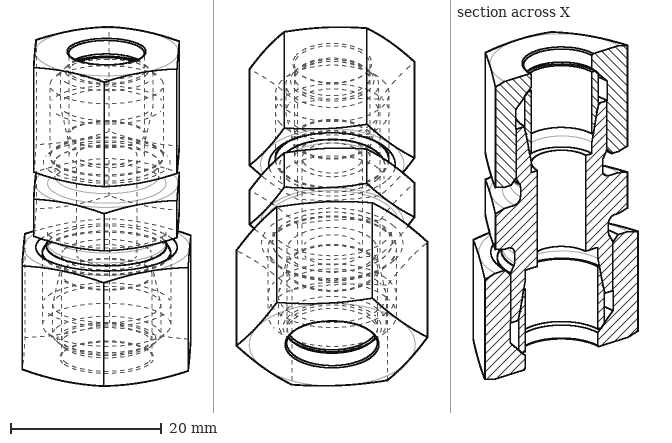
import cadquery as cq
import math


TOTAL_LENGTH = 43.0
NUT_LENGTH = 15.5
HEX_LENGTH = 6.0
MID_Z = TOTAL_LENGTH / 2
HEX_HALF = HEX_LENGTH / 2
NUT_OUTER_FACE = TOTAL_LENGTH / 2
NUT_INNER_FACE = NUT_OUTER_FACE - NUT_LENGTH

HEX_SIDES = 6
HEX_HALF_ANGLE = 180 / HEX_SIDES
CORNER_CHAMFER_ANGLE = 15.0

BODY_ACROSS_FLATS = 19.0
BORE_RADIUS = 8.0 / 2
STUB_LENGTH = 11.0
STUB_END = HEX_HALF + STUB_LENGTH
SOCKET_DEPTH = 7.0
GROOVE_LENGTH = 2.8
GROOVE_STRAIGHT_LENGTH = 1.38
GROOVE_FILLET = 1.0
LEAD_IN_LEDGE = 0.05
LEAD_IN_ANGLE = 30.0
MOUTH_HALF_ANGLE = 12.0

LIP_HEIGHT = 2.1
LIP_CHAMFER = 0.2
MOUTH_WIDENING = 0.85

RING_SEAT_WIDTH = 0.5
RING_TIP_WALL = 0.25

UPPER_END = {
    "across_flats": BODY_ACROSS_FLATS,
    "tube": 10.0 / 2,
    "mouth": 12.3 / 2,
    "groove": 13.7 / 2,
    "thread": 15.05 / 2,
}
LOWER_END = {
    "across_flats": 22.0,
    "tube": 12.0 / 2,
    "mouth": 14.3 / 2,
    "groove": 15.7 / 2,
    "thread": 17.03 / 2,
}


def revolve(profile):
    """Close a profile of (radius, height) points and turn it about Z."""
    return profile.close().revolve(360, (0, 0, 0), (0, 1, 0))


def chamfered_hexagon(across_flats, bottom, top):
    """Hexagonal prism with two flats facing +X and -X, and its corners cut by a cone at both ends."""
    flat_radius = across_flats / 2
    corner_radius = flat_radius / math.cos(math.radians(HEX_HALF_ANGLE))
    corner_drop = (corner_radius - flat_radius) * math.tan(math.radians(CORNER_CHAMFER_ANGLE))
    prism = (
        cq.Workplane("XY")
        .workplane(offset=bottom)
        .polygon(HEX_SIDES, 2 * corner_radius)
        .extrude(top - bottom)
        .rotate((0, 0, 0), (0, 0, 1), HEX_HALF_ANGLE)
    )
    envelope = revolve(
        cq.Workplane("XZ")
        .moveTo(0, bottom)
        .lineTo(flat_radius, bottom)
        .lineTo(corner_radius, bottom + corner_drop)
        .lineTo(corner_radius, top - corner_drop)
        .lineTo(flat_radius, top)
        .lineTo(0, top)
    )
    return prism.intersect(envelope)


def mouth_depth(end):
    """Depth over which the conical mouth narrows down to the tube socket."""
    return (end["mouth"] - end["tube"]) / math.tan(math.radians(MOUTH_HALF_ANGLE))


def stub(end):
    """Stub: filleted groove next to the hexagon, lead-in cone, then the thread cylinder."""
    groove = end["groove"]
    thread = end["thread"]
    straight_start = HEX_HALF + GROOVE_FILLET
    straight_end = straight_start + GROOVE_STRAIGHT_LENGTH
    groove_end = HEX_HALF + GROOVE_LENGTH
    flare_length = groove_end - straight_end
    flare = groove + GROOVE_FILLET - math.sqrt(GROOVE_FILLET**2 - flare_length**2)
    lead_in = flare + LEAD_IN_LEDGE
    lead_in_length = (thread - lead_in) / math.tan(math.radians(LEAD_IN_ANGLE))
    return revolve(
        cq.Workplane("XZ")
        .moveTo(0, 0)
        .lineTo(groove + GROOVE_FILLET, 0)
        .lineTo(groove + GROOVE_FILLET, HEX_HALF)
        .radiusArc((groove, straight_start), GROOVE_FILLET)
        .lineTo(groove, straight_end)
        .radiusArc((flare, groove_end), GROOVE_FILLET)
        .lineTo(lead_in, groove_end)
        .lineTo(thread, groove_end + lead_in_length)
        .lineTo(thread, STUB_END)
        .lineTo(0, STUB_END)
    )


def tube_socket(end):
    """Cutter for the conical mouth and the cylindrical seat of the tube."""
    return revolve(
        cq.Workplane("XZ")
        .moveTo(0, STUB_END - SOCKET_DEPTH)
        .lineTo(end["tube"], STUB_END - SOCKET_DEPTH)
        .lineTo(end["tube"], STUB_END - mouth_depth(end))
        .lineTo(end["mouth"], STUB_END)
        .lineTo(0, STUB_END)
    )


def nut(end):
    """Union nut: plain lip around the tube, 45 degree cone over the ring, then the thread bore."""
    tube = end["tube"]
    thread = end["thread"]
    lip_bottom = NUT_OUTER_FACE - LIP_HEIGHT
    cone_bottom = lip_bottom - (thread - tube)
    cavity = revolve(
        cq.Workplane("XZ")
        .moveTo(0, NUT_INNER_FACE)
        .lineTo(thread + MOUTH_WIDENING, NUT_INNER_FACE)
        .lineTo(thread, NUT_INNER_FACE + MOUTH_WIDENING)
        .lineTo(thread, cone_bottom)
        .lineTo(tube, lip_bottom)
        .lineTo(tube, NUT_OUTER_FACE - LIP_CHAMFER)
        .lineTo(tube + LIP_CHAMFER, NUT_OUTER_FACE)
        .lineTo(0, NUT_OUTER_FACE)
    )
    blank = chamfered_hexagon(end["across_flats"], NUT_INNER_FACE, NUT_OUTER_FACE)
    return blank.cut(cavity)


def ring(end):
    """Cutting ring: bears on the cone of the nut and tapers into the mouth of the body."""
    tube = end["tube"]
    mouth = end["mouth"]
    cone_top = NUT_OUTER_FACE - LIP_HEIGHT
    seat_z = cone_top - RING_SEAT_WIDTH
    shoulder_z = cone_top - (mouth - tube)
    tip_z = STUB_END - mouth_depth(end) + RING_TIP_WALL / math.tan(math.radians(MOUTH_HALF_ANGLE))
    return revolve(
        cq.Workplane("XZ")
        .moveTo(tube, tip_z)
        .lineTo(tube + RING_TIP_WALL, tip_z)
        .lineTo(mouth, STUB_END)
        .lineTo(mouth, shoulder_z)
        .lineTo(tube + RING_SEAT_WIDTH, seat_z)
        .lineTo(tube, seat_z)
    )


def at_upper_end(shape):
    """Move a shape from heights about the middle of the body to its place."""
    return shape.translate((0, 0, MID_Z))


def at_lower_end(shape):
    """Turn a shape upside down, then move it to its place."""
    return shape.rotate((0, 0, 0), (1, 0, 0), 180).translate((0, 0, MID_Z))


ENDS = [(UPPER_END, at_upper_end), (LOWER_END, at_lower_end)]


def fitting_body():
    """Hexagon with both stubs, both tube sockets and the through bore."""
    body = at_upper_end(chamfered_hexagon(BODY_ACROSS_FLATS, -HEX_HALF, HEX_HALF))
    for end, place in ENDS:
        body = body.union(place(stub(end)))
    for end, place in ENDS:
        body = body.cut(place(tube_socket(end)))
    return body.cut(cq.Workplane("XY").circle(BORE_RADIUS).extrude(TOTAL_LENGTH))


body = fitting_body()
nuts = [place(nut(end)).val() for end, place in ENDS]
rings = [place(ring(end)).val() for end, place in ENDS]

result = cq.Compound.makeCompound([body.val(), *nuts, *rings])